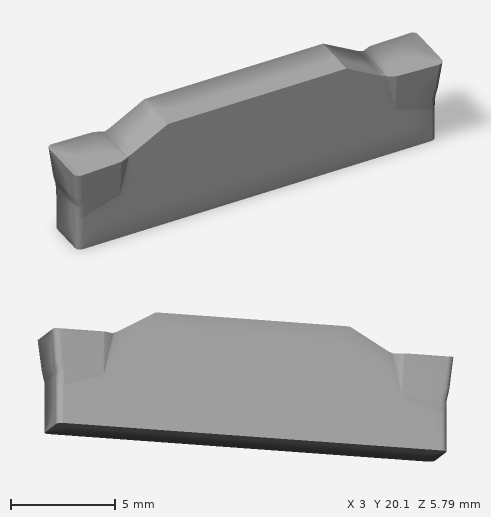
import cadquery as cq

length = 20.1
height = 5.79
body_width = 2.37
head_width = 3.0
half_body = body_width / 2

tip_y = length / 2
shank_end_y = 9.78
head_z = 4.6
clearance_z = 3.01
clearance_y = 9.88
shank_z = 2.53
ridge_half_length = 4.86
ramp_foot_y = 6.83
ramp_foot_z = 4.68
neck_y = 7.07
corner_radius = 0.3

cheek_lean = 0.11
cheek_taper = 0.037
cheek_rear_y = 7.51
cheek_rear_lean = 0.02
cheek_rear_radius = 0.1
neck_slope = 2.3
cheek_base_z = 1.6

land_y = 9.76
land_z = 4.58
dish_y = 7.61

tolerance = 0.02
rear_search = 0.2
upright = 0.7


def half_profile():
    """End profile from the ridge down to the underside, on the +Y side."""
    return [
        (ridge_half_length, height),
        (ramp_foot_y, ramp_foot_z),
        (neck_y, head_z),
        (dish_y, head_z),
        (land_y, land_z),
        (tip_y, head_z),
        (clearance_y, clearance_z),
        (shank_end_y, shank_z),
        (shank_end_y, 0),
    ]


def profile_prism(width):
    """Full lengthwise profile, extruded symmetrically across X."""
    right_side = half_profile()
    left_side = [(-y, z) for y, z in reversed(right_side)]
    return cq.Workplane("YZ").polyline(right_side + left_side).close().extrude(width / 2, both=True)


def cheek_section(z):
    """Plan outline of one flared head at height z."""
    drop = head_z - z
    rear_y = cheek_rear_y - cheek_rear_lean * drop
    tip_x = head_width / 2 + cheek_taper * corner_radius - cheek_lean * drop
    rear_x = tip_x - cheek_taper * (tip_y - rear_y)
    inner_x = half_body / 2
    inner_y = rear_y - neck_slope * (rear_x - inner_x)
    right_side = [(tip_x, tip_y), (rear_x, rear_y), (inner_x, inner_y)]
    left_side = [(-x, y) for x, y in reversed(right_side)]
    return [cq.Vector(x, y, z) for x, y in right_side + left_side]


def flared_head():
    """Head at the +Y end: planar cheeks between two parallel plan outlines."""
    wires = [cq.Wire.makePolygon(cheek_section(z), close=True) for z in (cheek_base_z, head_z)]
    blank = cq.Workplane(cq.Solid.makeLoft(wires, True))
    rear_corners = [
        edge
        for edge in blank.edges().vals()
        if abs(edge.Center().y - cheek_rear_y) < rear_search
        and abs(edge.tangentAt(0.5).z) > upright
    ]
    blank = blank.newObject(rear_corners).fillet(cheek_rear_radius)
    return blank.intersect(profile_prism(2 * head_width))


head = flared_head()
insert = profile_prism(body_width).union(head).union(head.mirror("XZ"))

corners = [
    edge
    for edge in insert.edges().vals()
    if abs(edge.Center().y) > shank_end_y - tolerance
    and abs(edge.tangentAt(0.5).z) > upright
]
result = insert.newObject(corners).fillet(corner_radius)